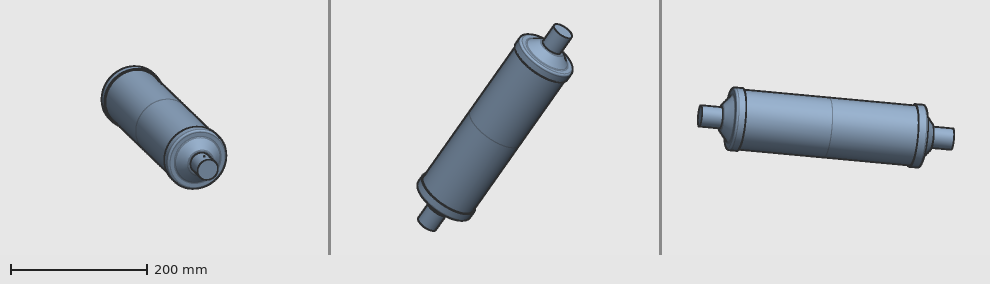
import cadquery as cq
import math

LENGTH = 378.0
SHELL_RADIUS = 89.0 / 2
CAP_RADIUS = 93.0 / 2
STUB_RADIUS = 31.8 / 2

STUB_LENGTH = 31.0
CAP_FACE_INSET = 45.0
CAP_WIDTH = 14.7
CAP_ROUND = 3.5

NOSE_TIP_RADIUS = 19.3
NOSE_BASE_RADIUS = 35.5
NOSE_ROUND = 2.5

PORT_DIAMETER = 1.5
PORT_INSET = 15.5
PORT_DEPTH = 3.8

HALF = LENGTH / 2
STUB_ROOT_X = HALF - STUB_LENGTH
CAP_FACE_X = HALF - CAP_FACE_INSET
CAP_BACK_X = CAP_FACE_X - CAP_WIDTH


def make_end():
    """Half of the turned body on the +X side, with a rounded nose and cap."""
    rise = NOSE_BASE_RADIUS - NOSE_TIP_RADIUS
    cone_angle = math.atan2(rise, STUB_ROOT_X - CAP_FACE_X)
    tangent_length = NOSE_ROUND * math.tan((math.pi / 2 - cone_angle) / 2)
    axial_step = tangent_length * math.cos(cone_angle)
    radial_step = tangent_length * math.sin(cone_angle)

    tip_flat_end = (STUB_ROOT_X, NOSE_TIP_RADIUS - tangent_length)
    cone_start = (STUB_ROOT_X - axial_step, NOSE_TIP_RADIUS + radial_step)
    cone_end = (CAP_FACE_X + axial_step, NOSE_BASE_RADIUS - radial_step)
    face_start = (CAP_FACE_X, NOSE_BASE_RADIUS + tangent_length)

    profile = (
        cq.Workplane("XY")
        .moveTo(0, 0)
        .lineTo(HALF, 0)
        .lineTo(HALF, STUB_RADIUS)
        .lineTo(STUB_ROOT_X, STUB_RADIUS)
        .lineTo(*tip_flat_end)
        .tangentArcPoint(cone_start, relative=False)
        .lineTo(*cone_end)
        .tangentArcPoint(face_start, relative=False)
        .lineTo(CAP_FACE_X, CAP_RADIUS - CAP_ROUND)
        .radiusArc((CAP_FACE_X - CAP_ROUND, CAP_RADIUS), -CAP_ROUND)
        .lineTo(CAP_BACK_X, CAP_RADIUS)
        .lineTo(CAP_BACK_X, SHELL_RADIUS)
        .lineTo(0, SHELL_RADIUS)
        .close()
    )
    return profile.revolve(360, (0, 0, 0), (1, 0, 0))


def make_ports():
    """Blind vertical holes, one in the top of each stub."""
    port_x = HALF - PORT_INSET
    return (
        cq.Workplane("XY", origin=(0, 0, STUB_RADIUS - PORT_DEPTH))
        .pushPoints([(-port_x, 0), (port_x, 0)])
        .circle(PORT_DIAMETER / 2)
        .extrude(2 * PORT_DEPTH)
    )


end = make_end()
body = end.union(end.mirror("YZ")).clean()
result = body.cut(make_ports())